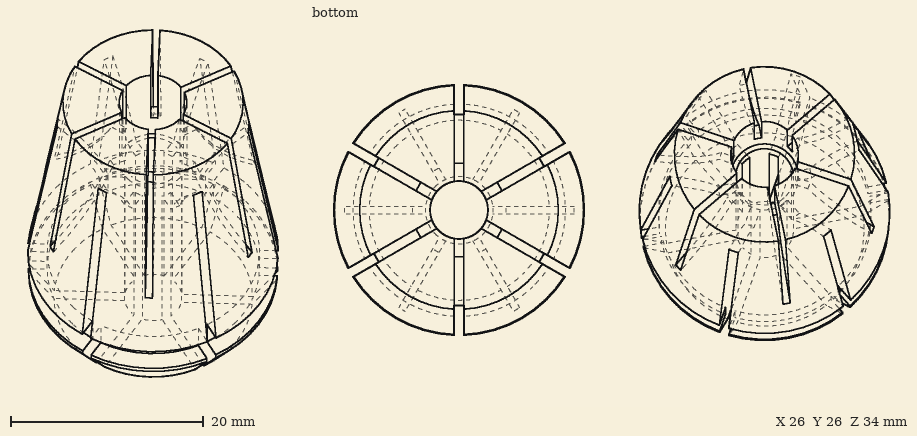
import cadquery as cq
import math

height = 34.0
bottom_radius = 10.3
flange_radius = 12.92
flange_edge_z = 4.52
flange_top_z = 5.05
groove_radius = 11.0
taper_base_z = 8.1
taper_base_radius = 13.005
top_radius = 9.35

upper_bore_radius = 3.5
lower_bore_radius = 3.0
bore_step_z = 23.8

slot_count = 6
saw_radius = 27.2
slot_reach = 15.3
slot_inner_radius = 4.85

upper_slot_width = 0.75
upper_slot_outer_z = 15.95
upper_slot_inner_z = 26.7
upper_slot_center_z = 26.35

lower_slot_width = 1.02
lower_slot_outer_z = 30.0
lower_slot_inner_z = 21.52
lower_slot_first_angle = 180.0 / slot_count


def taper_radius(z):
    """Radius of the long outer taper at height z."""
    fraction = (z - taper_base_z) / (height - taper_base_z)
    return taper_base_radius + fraction * (top_radius - taper_base_radius)


def make_body():
    profile = [
        (0, 0),
        (bottom_radius, 0),
        (flange_radius, flange_edge_z),
        (flange_radius, flange_top_z),
        (groove_radius, flange_top_z),
        (groove_radius, taper_base_z),
        (taper_base_radius, taper_base_z),
        (top_radius, height),
        (0, height),
    ]
    return cq.Workplane("XZ").polyline(profile).close().revolve(360, (0, 0), (0, 1))


def make_bore():
    lower = cq.Workplane("XY").circle(lower_bore_radius).extrude(height)
    upper = (
        cq.Workplane("XY", origin=(0, 0, bore_step_z))
        .circle(upper_bore_radius)
        .extrude(height - bore_step_z)
    )
    return lower.union(upper)


def arc_middle(inner, outer):
    """Middle of the saw arc, which bows toward the axis."""
    run = outer[0] - inner[0]
    rise = outer[1] - inner[1]
    chord = math.hypot(run, rise)
    sagitta = saw_radius - math.sqrt(saw_radius**2 - (chord / 2) ** 2)
    middle_radius = (inner[0] + outer[0]) / 2 - sagitta * abs(rise) / chord
    middle_z = (inner[1] + outer[1]) / 2 + sagitta * run / chord * math.copysign(1, rise)
    return middle_radius, middle_z


def make_slot(width, outer_z, inner_z, center_z, open_z):
    """Slot along +X, open at the end face at open_z."""
    outer = (taper_radius(outer_z), outer_z)
    inner = (slot_inner_radius, inner_z)
    return (
        cq.Workplane("XZ")
        .moveTo(0, open_z)
        .lineTo(0, center_z)
        .lineTo(*inner)
        .threePointArc(arc_middle(inner, outer), outer)
        .lineTo(slot_reach, outer_z)
        .lineTo(slot_reach, open_z)
        .close()
        .extrude(width / 2, both=True)
    )


upper_slot = make_slot(
    upper_slot_width, upper_slot_outer_z, upper_slot_inner_z, upper_slot_center_z, height
)
lower_slot = make_slot(
    lower_slot_width, lower_slot_outer_z, lower_slot_inner_z, lower_slot_inner_z, 0
)

result = make_body().cut(make_bore())
for index in range(slot_count):
    angle = index * 360.0 / slot_count
    result = result.cut(upper_slot.rotate((0, 0, 0), (0, 0, 1), angle))
    lower_angle = angle + lower_slot_first_angle
    result = result.cut(lower_slot.rotate((0, 0, 0), (0, 0, 1), lower_angle))